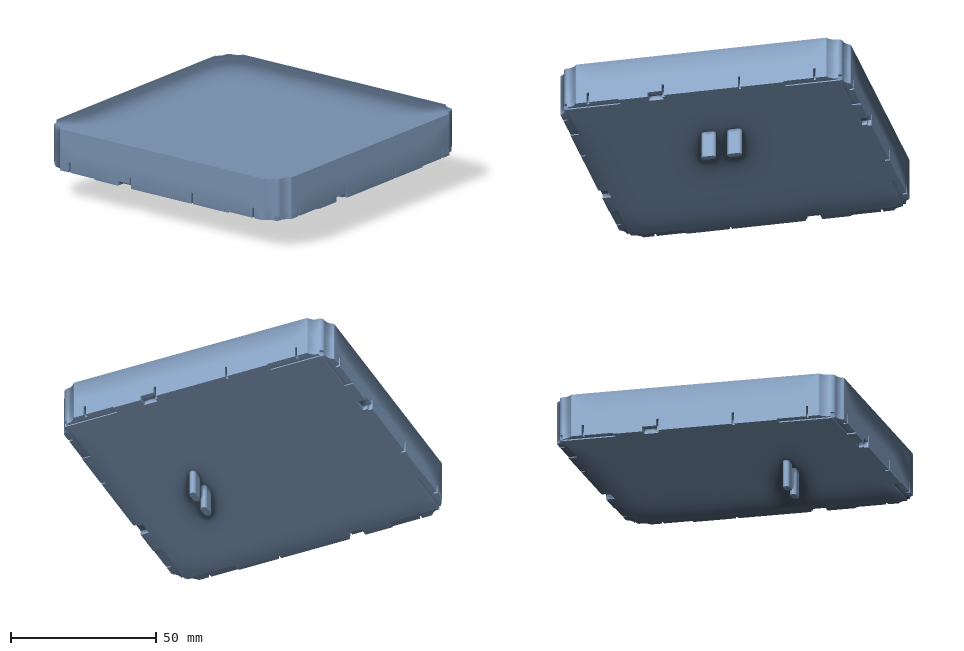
import cadquery as cq
import math

side = 102.8
total_height = 25.0
body_height = 15.5
half_side = side / 2

corner_setback = 2.1
knob_radius = 1.7
cove_radius = 3.5
shoulder_radius = 0.6

rim_depth = corner_setback + 1.0
slot_width = 0.8
slot_height = 4.1
slot_centers = (-40.1, -13.5, 13.5, 40.1)
slot_upper_depth = 2.5
slot_lower_depth = 1.5
ledge_height = 1.9
notch_width = 5.0
notch_height = 1.7
notch_start = slot_centers[1] - slot_width / 2 - notch_width
relief_height = 0.4
relief_inner_end = 29.2
corner_notch_width = 1.8
corner_notch_depth = 1.0

pin_length = total_height - body_height
pin_width = 5.2
pin_thickness = 2.4
pin_spacing = 9.15
pin_center_y = 20.05


def corner_points():
    """Points of the corner at (+x, +y), from its x-facing side to its y-facing side.

    The cove is tangent to the knob and to the shoulder fillet that ends the flat face.
    """
    knob_face = half_side - corner_setback
    knob_center = knob_face - knob_radius
    cove_center_x = knob_face + cove_radius
    shoulder_center_x = half_side - shoulder_radius
    center_gap = cove_radius + shoulder_radius
    turn = math.acos((cove_center_x - shoulder_center_x) / center_gap)
    shoulder_center_y = knob_center - center_gap * math.sin(turn)

    def on_shoulder(angle):
        return (
            shoulder_center_x + shoulder_radius * math.cos(angle),
            shoulder_center_y + shoulder_radius * math.sin(angle),
        )

    def on_cove(angle):
        return (
            cove_center_x - cove_radius * math.cos(angle),
            knob_center - cove_radius * math.sin(angle),
        )

    knob_mid = knob_center + knob_radius * math.cos(math.pi / 4)
    lower = [
        on_shoulder(0),
        on_shoulder(turn / 2),
        on_shoulder(turn),
        on_cove(turn / 2),
        on_cove(0),
    ]
    upper = [(y, x) for x, y in reversed(lower)]
    return lower + [(knob_mid, knob_mid)] + upper


def turned(point, quarter):
    """Turn a point about the origin by a number of quarter turns."""
    x, y = point
    for _ in range(quarter):
        x, y = -y, x
    return (x, y)


def make_body():
    first_corner = corner_points()
    outline = cq.Workplane("XY").moveTo(*first_corner[0])
    for quarter in range(4):
        points = [turned(point, quarter) for point in first_corner]
        if quarter > 0:
            outline = outline.lineTo(*points[0])
        for middle, end in zip(points[1::2], points[2::2]):
            outline = outline.threePointArc(middle, end)
    return outline.close().extrude(body_height)


def rim_cut(x_start, x_end, depth, z_bottom, z_top):
    """Block that cuts into the -y side between two x positions and two heights."""
    return (
        cq.Workplane("XY")
        .box(x_end - x_start, depth, z_top - z_bottom, centered=False)
        .translate((x_start, -half_side, z_bottom))
    )


def slot_cuts(center_x):
    """Narrow upright slot that is shallower below the ledge height."""
    left = center_x - slot_width / 2
    right = center_x + slot_width / 2
    return [
        rim_cut(left, right, slot_lower_depth, 0, ledge_height),
        rim_cut(left, right, slot_upper_depth, ledge_height, slot_height),
    ]


def corner_notch_cut():
    """Block that notches the foot of the knob at the (-x, -y) corner along its diagonal."""
    knob_center = half_side - corner_setback - knob_radius
    knob_tip = knob_center * math.sqrt(2) + knob_radius
    return (
        cq.Workplane("XY")
        .box(2 * corner_notch_depth, corner_notch_width, ledge_height, centered=(True, True, False))
        .translate((knob_tip, 0, 0))
        .rotate((0, 0, 0), (0, 0, 1), 225)
    )


def side_cuts():
    """Slots, notch, end reliefs and corner notch belonging to the -y side."""
    cuts = [cut for center_x in slot_centers for cut in slot_cuts(center_x)]
    cuts.append(rim_cut(notch_start, notch_start + notch_width, rim_depth, 0, notch_height))
    cuts.append(rim_cut(-half_side, -relief_inner_end, rim_depth, 0, relief_height))
    cuts.append(rim_cut(relief_inner_end, half_side, rim_depth, 0, relief_height))
    cuts.append(corner_notch_cut())
    return cuts


def make_pins():
    return (
        cq.Workplane("XY")
        .center(0, pin_center_y)
        .rarray(pin_spacing, 1, 2, 1)
        .slot2D(pin_width, pin_thickness)
        .extrude(-pin_length)
    )


result = make_body()
for side_index in range(4):
    for cut in side_cuts():
        result = result.cut(cut.rotate((0, 0, 0), (0, 0, 1), 90 * side_index))
result = result.union(make_pins())